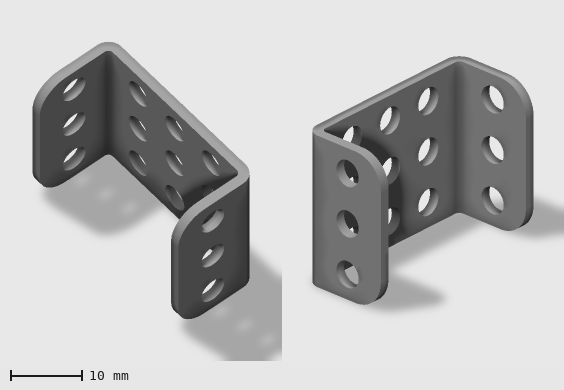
import cadquery as cq

width = 32.0
depth = 14.3
height = 24.0

thickness = 1.6
inner_bend_radius = 0.8
outer_bend_radius = inner_bend_radius + thickness
flange_corner_radius = 4.8

hole_diameter = 4.2
hole_pitch = 8.0
holes_per_side = 3
flange_hole_setback = 8.0

back_y = depth / 2


def upright_box(x_size, y_size, y_center):
    """Full-height block centred on X and Z."""
    return cq.Workplane("XY").box(x_size, y_size, height).translate((0, y_center, 0))


def bent_sheet():
    """U-shaped sheet with concentric inner and outer bends."""
    outer = upright_box(width, depth, 0).edges("|Z and >Y").fillet(outer_bend_radius)
    inner = upright_box(width - 2 * thickness, depth, -thickness)
    inner = inner.edges("|Z and >Y").fillet(inner_bend_radius)
    return outer.cut(inner)


def web_holes():
    """Square grid of holes through the web."""
    return (
        cq.Workplane("XZ", origin=(0, back_y, 0))
        .rarray(hole_pitch, hole_pitch, holes_per_side, holes_per_side)
        .circle(hole_diameter / 2)
        .extrude(thickness)
    )


def flange_holes():
    """Vertical row of holes passing through both flanges."""
    return (
        cq.Workplane("YZ", origin=(0, back_y - flange_hole_setback, 0))
        .rarray(hole_pitch, hole_pitch, 1, holes_per_side)
        .circle(hole_diameter / 2)
        .extrude(width / 2, both=True)
    )


bracket = bent_sheet()

bracket = bracket.faces("<Y").edges("|X").fillet(flange_corner_radius)

result = bracket.cut(web_holes()).cut(flange_holes())